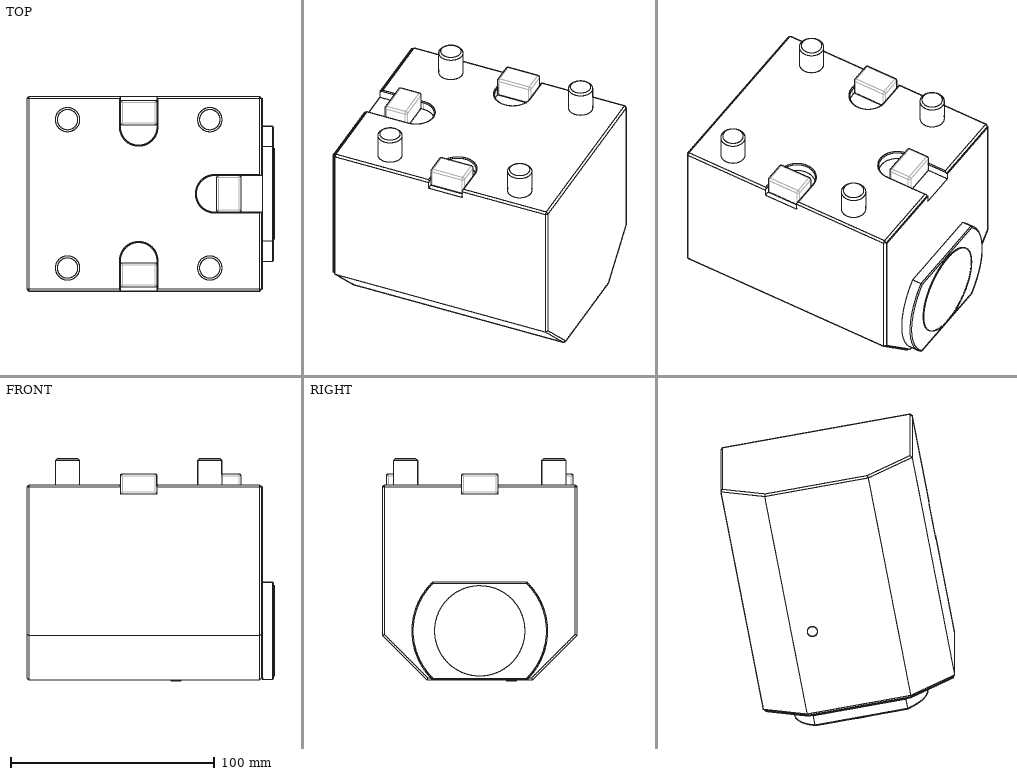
import cadquery as cq
body_width = 95.9
body_height = 96.0
body_left = -55.0
body_right = 60.5
lower_bevel = 22.0
edge_chamfer = 1.0

sheet_thickness = 0.5

pin_diameter = 12.0
pin_height = 13.0
pin_spacing_x = 70.0
pin_spacing_y = 73.0
pin_chamfer = 1.0

slot_width = 18.0
slot_depth = 4.5
slot_rim_chamfer = 0.5
rim_angle = 45.0
key_width = slot_width
key_length = 12.0
key_height = 10.0
key_edge_radius = 1.0
key_to_slot_end_centre = 1.0
side_key_setback = 2.0
end_key_setback = 10.1

flange_diameter = 66.8
flange_flat_height = 48.0
flange_thickness = 5.4
flange_chamfer = 0.6
flange_bottom_gap = 0.2
flange_face_diameter = 44.5
flange_projection = 5.89

foot_diameter = 5.0
foot_height = 0.53
foot_x = 18.3
foot_y = 15.6

half_width = body_width / 2
sheet_face = body_right + sheet_thickness


def make_body():
    bottom = -body_height
    bevel_top = bottom + lower_bevel
    floor_half_width = half_width - lower_bevel
    section = [
        (-half_width, 0),
        (half_width, 0),
        (half_width, bevel_top),
        (floor_half_width, bottom),
        (-floor_half_width, bottom),
        (-half_width, bevel_top),
    ]
    block = (
        cq.Workplane("YZ", origin=(body_left, 0, 0))
        .polyline(section)
        .close()
        .extrude(body_right - body_left)
    )
    block = block.faces("<X or >X or >Z").edges().chamfer(edge_chamfer)
    sheet = block.faces(">X").wires().toPending().workplane().extrude(sheet_thickness, combine=False)
    return block.union(sheet)


def make_pins():
    return (
        cq.Workplane("XY", origin=(0, 0, -slot_depth))
        .rarray(pin_spacing_x, pin_spacing_y, 2, 2)
        .circle(pin_diameter / 2)
        .extrude(slot_depth + pin_height)
        .faces(">Z")
        .edges()
        .chamfer(pin_chamfer)
    )


def make_slot(side_distance, setback):
    """Round-ended slot cutter with a flared rim, running out past the +X side."""
    end_centre = side_distance - setback - key_length - key_to_slot_end_centre
    overall_length = 2 * (side_distance - end_centre) + slot_width
    wall_depth = slot_depth - slot_rim_chamfer
    channel = (
        cq.Workplane("XY", origin=(side_distance, 0, -slot_depth))
        .slot2D(overall_length, slot_width)
        .extrude(wall_depth)
    )
    rim = (
        cq.Workplane("XY", origin=(side_distance, 0, -slot_rim_chamfer))
        .slot2D(overall_length, slot_width)
        .extrude(slot_rim_chamfer, taper=-rim_angle)
    )
    return channel.union(rim)


def make_key(side_distance, setback):
    """Key rounded on every edge, standing on the slot floor."""
    inner_x = side_distance - setback - key_length
    return (
        cq.Workplane("XY", origin=(inner_x, 0, -slot_depth))
        .box(key_length, key_width, key_height, centered=(False, True, False))
        .edges()
        .fillet(key_edge_radius)
    )


def make_flange():
    centre_z = -body_height + flange_bottom_gap + flange_flat_height / 2
    plane = cq.Workplane("YZ", origin=(sheet_face, 0, centre_z))
    disc = plane.circle(flange_diameter / 2).extrude(flange_thickness)
    flats = plane.rect(flange_diameter, flange_flat_height).extrude(flange_thickness)
    plate = disc.intersect(flats).faces(">X").edges().chamfer(flange_chamfer)
    face = plane.circle(flange_face_diameter / 2).extrude(flange_projection)
    return plate.union(face)


def make_foot():
    return (
        cq.Workplane("XY", origin=(foot_x, foot_y, -body_height - foot_height))
        .circle(foot_diameter / 2)
        .extrude(foot_height)
    )


key_places = [
    (0, body_right, end_key_setback),
    (90, half_width, side_key_setback),
    (-90, half_width, side_key_setback),
]

result = make_body().union(make_pins()).union(make_flange()).union(make_foot())
for angle, side_distance, setback in key_places:
    slot = make_slot(side_distance, setback).rotate((0, 0, 0), (0, 0, 1), angle)
    key = make_key(side_distance, setback).rotate((0, 0, 0), (0, 0, 1), angle)
    result = result.cut(slot).union(key)